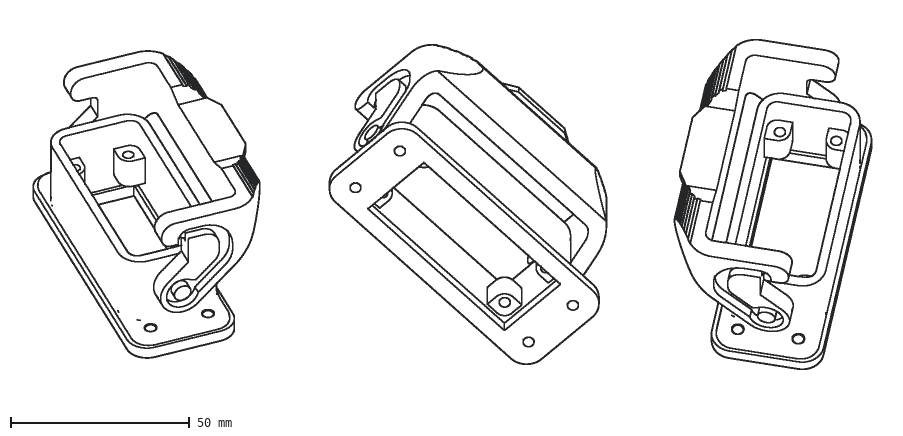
import cadquery as cq
import math

overlap = 0.8

flange_length = 83.0
flange_width = 31.9
flange_height = 3.6
flange_corner = 6.1
pad_length = 81.0
pad_top = 5.3
pad_corner = 5.2
pad_edge_radius = 1.0
mount_x = 34.95
mount_y = 8.6
mount_diameter = 3.1
mount_chamfer = 0.21

housing_length = 63.5
housing_width = 29.2
housing_top = 26.7
housing_corner = 6.6
foot_radius = 0.5
cavity_length = 57.3
cavity_width = 23.9
cavity_floor = 4.0
cavity_corner = 2.9
window_length = 55.1
window_width = 21.75

post_x = 21.75
post_y = 5.15
post_bottom = 8.6
post_top = 17.8
post_round = 3.3
post_embed = 0.4
screw_x = 24.7
screw_y = 8.05
screw_diameter = 3.1

lever_top = 42.8
arm_outer_x = 37.5
arm_thickness = 5.4
arm_inner_x = arm_outer_x - arm_thickness
pivot_z = 17.1
hub_radius = 6.6
pin_radius = 2.5
washer_radius = 3.5
arm_angle = math.radians(43)
hook_tip_y = -6.3
hook_bottom = 35.0
hook_top_radius = 4.1
hook_bottom_radius = 2.9
throat_y = 1.75
throat_radius = 1.6

bar_inner_y = 18.75
bar_inner_radius = 2.65
bar_corner = 8.3
bar_corner_start_y = 15.7
bar_slope = math.radians(30)
grip_radius = 7.0
grip_y = 22.1
grip_z = lever_top - grip_radius
groove_depth = 0.21
groove_first_angle = 2.0
groove_pitch = 16.0
groove_span = 7.8
groove_count = 5
dip_half_width = 13.8
dip_top_half_width = 19.4
tab_top = 40.8
tab_bottom = 38.3
tab_tip_y = 30.05
tab_tip_half_width = 9.3

recess_depth = 2.6
recess_hub_radius = 4.8
recess_top = 39.5
recess_back_y = 15.0
recess_front_y = -1.3
recess_offset = 4.0
recess_front_radius = 3.4
recess_back_radius = 9.1
recess_bend_radius = 7.0
island_top = 36.3
island_back_y = 10.95
island_front_radius = 0.3
island_back_radius = 4.5
island_bend_radius = 4.15
island_toe_y = 3.8
island_toe_radius = 0.8


def rounded_outline(plane, corners):
    """Closed wire through (x, y, radius) corners, each rounded by a tangent arc."""
    path = cq.Workplane(plane)
    for i, (x, y, radius) in enumerate(corners):
        last_x, last_y, _ = corners[i - 1]
        next_x, next_y, _ = corners[(i + 1) % len(corners)]
        start = (x, y)
        middle = None
        if radius > 0:
            a = math.atan2(last_y - y, last_x - x)
            b = math.atan2(next_y - y, next_x - x)
            turn = math.remainder(b - a, 2 * math.pi)
            half = abs(turn) / 2
            bisector = a + turn / 2
            reach = radius / math.tan(half)
            depth = radius / math.sin(half) - radius
            start = (x + reach * math.cos(a), y + reach * math.sin(a))
            middle = (x + depth * math.cos(bisector), y + depth * math.sin(bisector))
            end = (x + reach * math.cos(b), y + reach * math.sin(b))
        path = path.moveTo(*start) if i == 0 else path.lineTo(*start)
        if middle:
            path = path.threePointArc(middle, end)
    return path.close()


def rounded_block(length, width, bottom, top, corner):
    """Upright block centred on Z with rounded vertical edges."""
    block = cq.Workplane("XY").workplane(offset=bottom).rect(length, width).extrude(top - bottom)
    return block.edges("|Z").fillet(corner)


def disc_x(y, z, radius, start_x, end_x):
    """Cylinder along X."""
    return cq.Workplane("YZ", origin=(start_x, y, z)).circle(radius).extrude(end_x - start_x)


def arm_line_z(y, offset):
    """Height at y of the line parallel to the arm, lying below the pivot by offset."""
    return pivot_z + y * math.tan(arm_angle) - offset / math.cos(arm_angle)


def arm_line_y(z, offset):
    """Depth at z of the same line."""
    return (z - pivot_z + offset / math.cos(arm_angle)) / math.tan(arm_angle)


def pad_top_edges(body, reach_x):
    """Select edges lying in the plane of the pad tops, out to reach_x on both sides."""
    tolerance = 0.01
    slab = cq.selectors.BoxSelector(
        (-reach_x, -flange_width, pad_top - tolerance),
        (reach_x, flange_width, pad_top + tolerance),
        boundingbox=True,
    )
    return body.edges(slab)


def make_shell_on_pads():
    """Shell with a foot fillet, cut flush with the pads whose rims are rounded afterwards."""
    plate = cq.Workplane("XY").workplane(offset=flange_height).rect(pad_length, flange_width)
    body = plate.extrude(pad_top - flange_height)
    body = body.union(
        rounded_block(housing_length, housing_width, flange_height, housing_top, housing_corner)
    )
    body = pad_top_edges(body, housing_length / 2 + foot_radius).fillet(foot_radius)
    body = body.intersect(
        rounded_block(pad_length, housing_width, flange_height, housing_top, pad_corner)
    )
    return pad_top_edges(body, pad_length).edges(">X or <X").fillet(pad_edge_radius)


def make_housing():
    """Flange, pads and hollow shell with the window and mounting holes."""
    body = rounded_block(flange_length, flange_width, 0, flange_height, flange_corner)
    body = body.union(make_shell_on_pads())
    body = body.cut(
        rounded_block(cavity_length, cavity_width, cavity_floor, housing_top, cavity_corner)
    )
    body = body.cut(cq.Workplane("XY").rect(window_length, window_width).extrude(cavity_floor))
    mounts = [(x, y) for x in (-mount_x, mount_x) for y in (-mount_y, mount_y)]
    mount_radius = mount_diameter / 2
    body = body.cut(cq.Workplane("XY").pushPoints(mounts).circle(mount_radius).extrude(pad_top))
    sinks = cq.Workplane("XY").workplane(offset=pad_top).pushPoints(mounts)
    sinks = sinks.circle(mount_radius + mount_chamfer).extrude(-mount_chamfer, taper=45)
    return body.cut(sinks)


def make_posts():
    """Four rounded posts with screw holes, reaching slightly into the cavity walls."""
    posts = rounded_block(
        cavity_length + 2 * post_embed,
        cavity_width + 2 * post_embed,
        post_bottom,
        post_top,
        cavity_corner,
    )
    height = post_top - post_bottom
    keep = None
    for side_x in (-1, 1):
        for side_y in (-1, 1):
            outer_x = side_x * cavity_length
            outer_y = side_y * cavity_width
            corners = [
                (side_x * post_x, side_y * post_y, post_round),
                (outer_x, side_y * post_y, 0),
                (outer_x, outer_y, 0),
                (side_x * post_x, outer_y, 0),
            ]
            post = rounded_outline("XY", corners).extrude(height).translate((0, 0, post_bottom))
            keep = post if keep is None else keep.union(post)
    holes = cq.Workplane("XY").workplane(offset=post_bottom)
    holes = holes.rect(2 * screw_x, 2 * screw_y, forConstruction=True).vertices()
    return posts.intersect(keep).cut(holes.circle(screw_diameter / 2).extrude(height))


def make_lever_side():
    """Side shape of hook, arm, hub and grip, extruded over the whole lever width."""
    grip_bottom = grip_z - grip_radius
    tangent_y = hub_radius * math.sin(arm_angle)
    tangent_z = hub_radius * math.cos(arm_angle)
    corners = [
        (hook_tip_y, lever_top, hook_top_radius),
        (grip_y, lever_top, 0),
        (arm_line_y(grip_bottom, hub_radius), grip_bottom, 0),
        (tangent_y, pivot_z - tangent_z, 0),
        (-tangent_y, pivot_z + tangent_z, 0),
        (throat_y, arm_line_z(throat_y, -hub_radius), 0),
        (throat_y, hook_bottom, throat_radius),
        (hook_tip_y, hook_bottom, hook_bottom_radius),
    ]
    side = rounded_outline("YZ", corners).extrude(arm_outer_x, both=True)
    side = side.union(disc_x(0, pivot_z, hub_radius, -arm_outer_x, arm_outer_x))
    return side.union(disc_x(grip_y, grip_z, grip_radius, -arm_outer_x, arm_outer_x))


def make_lever_plan():
    """Plan shape of the lever: a U open to the front, sloped behind its outer corners."""
    back_y = grip_y + grip_radius + overlap
    corner_y = bar_corner_start_y + bar_corner * math.tan((math.pi / 2 - bar_slope) / 2)
    back_x = arm_outer_x - (back_y - corner_y) / math.tan(bar_slope)
    front_y = -hub_radius - overlap
    corners = [
        (-arm_outer_x, front_y, 0),
        (-arm_outer_x, corner_y, bar_corner),
        (-back_x, back_y, 0),
        (back_x, back_y, 0),
        (arm_outer_x, corner_y, bar_corner),
        (arm_outer_x, front_y, 0),
        (arm_inner_x, front_y, 0),
        (arm_inner_x, bar_inner_y, bar_inner_radius),
        (-arm_inner_x, bar_inner_y, bar_inner_radius),
        (-arm_inner_x, front_y, 0),
    ]
    return rounded_outline("XY", corners).extrude(lever_top)


def make_grip_grooves():
    """Shallow grooves along X, spaced by angle around the upper back of the grip."""
    grooves = None
    reach = 2 * grip_radius
    for i in range(groove_count):
        start = math.radians(groove_first_angle + i * groove_pitch)
        end = start + math.radians(groove_span)
        wedge = (
            cq.Workplane("YZ", origin=(0, grip_y, grip_z))
            .lineTo(reach * math.sin(start), reach * math.cos(start))
            .lineTo(reach * math.sin(end), reach * math.cos(end))
            .close()
            .extrude(arm_outer_x, both=True)
        )
        grooves = wedge if grooves is None else grooves.union(wedge)
    return grooves.cut(
        disc_x(grip_y, grip_z, grip_radius - groove_depth, -arm_outer_x, arm_outer_x)
    )


def make_tab():
    """Dip in the top of the bar and the thumb tab behind it, level with the dip."""
    depth = tab_tip_y - bar_inner_y
    dip = (
        cq.Workplane("XZ", origin=(0, tab_tip_y, 0))
        .moveTo(-dip_top_half_width, lever_top)
        .lineTo(-dip_half_width, tab_top)
        .lineTo(dip_half_width, tab_top)
        .lineTo(dip_top_half_width, lever_top)
        .close()
        .extrude(depth)
    )
    root_half_width = tab_tip_half_width + (tab_tip_y - grip_y) / math.tan(bar_slope)
    tab = (
        cq.Workplane("XY", origin=(0, 0, tab_bottom))
        .moveTo(-tab_tip_half_width, tab_tip_y)
        .lineTo(tab_tip_half_width, tab_tip_y)
        .lineTo(root_half_width, grip_y)
        .lineTo(-root_half_width, grip_y)
        .close()
        .extrude(tab_top - tab_bottom)
    )
    return dip, tab


def make_recess():
    """Hook-shaped channel that leaves a raised island and the pivot pin."""
    mouth_z = hook_bottom - throat_radius
    hub_end_y = recess_hub_radius * math.cos(arm_angle)
    toe_z = arm_line_z(island_toe_y, 0)
    corners = [
        (recess_front_y, mouth_z, 0),
        (recess_front_y, recess_top, recess_front_radius),
        (recess_back_y, recess_top, recess_back_radius),
        (recess_back_y, arm_line_z(recess_back_y, recess_offset), recess_bend_radius),
        (hub_end_y, arm_line_z(hub_end_y, recess_offset), 0),
        (0, pivot_z, 0),
        (recess_hub_radius / 2, pivot_z + recess_hub_radius * math.cos(math.pi / 6), 0),
        (island_toe_y, toe_z, island_toe_radius),
        (island_back_y, arm_line_z(island_back_y, 0), island_bend_radius),
        (island_back_y, island_top, island_back_radius),
        (throat_y, island_top, island_front_radius),
        (throat_y, mouth_z, 0),
    ]
    floor_x = arm_outer_x - recess_depth
    channel = rounded_outline("YZ", corners).extrude(recess_depth).translate((floor_x, 0, 0))
    channel = channel.union(disc_x(0, pivot_z, recess_hub_radius, floor_x, arm_outer_x))
    return channel.cut(disc_x(0, pivot_z, pin_radius, floor_x, arm_outer_x))


def make_lever():
    """Lever where its side and plan shapes overlap, with grooves, tab and arm recesses."""
    lever = make_lever_side().intersect(make_lever_plan())
    lever = lever.cut(make_grip_grooves())
    dip, tab = make_tab()
    lever = lever.cut(dip).union(tab)
    recess = make_recess()
    return lever.cut(recess).cut(recess.mirror("YZ"))


def make_washers():
    """Discs that fill the gap between each arm and the housing."""
    inner_x = housing_length / 2 - overlap
    washer = disc_x(0, pivot_z, washer_radius, inner_x, arm_inner_x)
    return washer.union(washer.mirror("YZ"))


result = make_housing().union(make_posts()).union(make_washers()).union(make_lever())